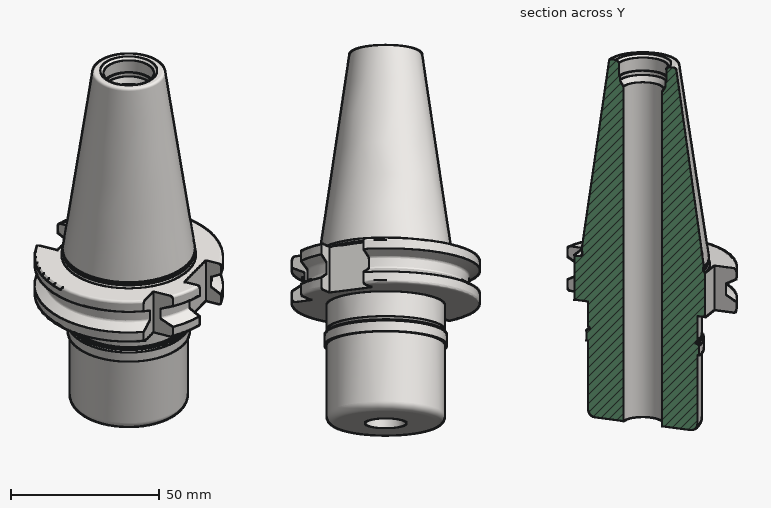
import cadquery as cq
import math

taper_height = 68.4
nose_z = -60.0
taper_foot_z = -1.0
flange_top_z = -3.2
flange_bottom_z = -19.1
groove_mid_z = -11.1
shank_end_z = -27.7
collar_top_z = -28.8
collar_bottom_z = -33.0

gauge_radius = 44.45 / 2
taper_slope = 7 / 48
taper_rim_fillet = 1.0
neck_radius = 22.1
neck_top_z = -1.8
neck_bottom_z = -2.4
neck_root_radius = 22.7

flange_radius = 63.55 / 2
flange_rim_fillet = 1.0
groove_floor_radius = 28.1
groove_floor_width = 3.8
groove_flank_angle = 30
groove_corner_fillet = 0.7

slot_width = 16.1
shallow_slot_x = 25.0
deep_slot_x = -22.8
notch_x = 18.5
notch_y = -18.5

body_radius = 20.0
relief_radius = 19.2
collar_radius = 20.65
collar_chamfer = 0.6
nose_fillet = 2.6

bore_radius = 7.0
counterbore_radius = 8.5
counterbore_depth = 5.5
lead_in_top_radius = 8.25
lead_in_depth = 7.0
counterbore_mouth_radius = 9.6
counterbore_mouth_depth = 0.9
lead_in_angle = 30


edge_tolerance = 0.01


def taper_radius(z):
    """Radius of the taper at height z."""
    return gauge_radius - taper_slope * z


def round_circle(body, radius, z, fillet_radius):
    """Fillet the circular edge of the given radius at height z."""

    def is_wanted(edge):
        start = edge.startPoint()
        on_circle = abs(math.hypot(start.x, start.y) - radius) < edge_tolerance
        return edge.geomType() == "CIRCLE" and on_circle and abs(start.z - z) < edge_tolerance

    return body.edges().filter(is_wanted).fillet(fillet_radius)


def make_revolved_body():
    """Taper, grooved flange and lower body as one turned outline."""
    half_floor = groove_floor_width / 2
    flank_height = (flange_radius - groove_floor_radius) * math.tan(math.radians(groove_flank_angle))
    half_mouth = half_floor + flank_height
    outline = (
        cq.Workplane("XZ")
        .moveTo(0, taper_height)
        .lineTo(taper_radius(taper_height), taper_height)
        .lineTo(taper_radius(taper_foot_z), taper_foot_z)
        .lineTo(neck_radius, neck_top_z)
        .lineTo(neck_radius, neck_bottom_z)
        .lineTo(neck_root_radius, flange_top_z)
        .lineTo(flange_radius, flange_top_z)
        .lineTo(flange_radius, groove_mid_z + half_mouth)
        .lineTo(groove_floor_radius, groove_mid_z + half_floor)
        .lineTo(groove_floor_radius, groove_mid_z - half_floor)
        .lineTo(flange_radius, groove_mid_z - half_mouth)
        .lineTo(flange_radius, flange_bottom_z)
        .lineTo(body_radius, flange_bottom_z)
        .lineTo(body_radius, shank_end_z)
        .lineTo(relief_radius, collar_top_z)
        .lineTo(collar_radius - collar_chamfer, collar_top_z)
        .lineTo(collar_radius, collar_top_z - collar_chamfer)
        .lineTo(collar_radius, collar_bottom_z)
        .lineTo(body_radius, collar_bottom_z)
        .lineTo(body_radius, nose_z)
        .lineTo(0, nose_z)
        .close()
    )
    body = outline.revolve(360, (0, 0, 0), (0, 1, 0))
    body = round_circle(body, taper_radius(taper_height), taper_height, taper_rim_fillet)
    body = round_circle(body, flange_radius, flange_top_z, flange_rim_fillet)
    body = round_circle(body, flange_radius, flange_bottom_z, flange_rim_fillet)
    for side in (1, -1):
        corner_z = groove_mid_z + side * half_floor
        body = round_circle(body, groove_floor_radius, corner_z, groove_corner_fillet)
    return round_circle(body, body_radius, nose_z, nose_fillet)


def make_bore():
    """Through bore, entered from the top through a chamfered counterbore, a small step and a cone."""
    counterbore_z = taper_height - counterbore_depth
    lead_in_z = taper_height - lead_in_depth
    lead_in_height = (lead_in_top_radius - bore_radius) / math.tan(math.radians(lead_in_angle))
    outline = (
        cq.Workplane("XZ")
        .moveTo(0, taper_height)
        .lineTo(counterbore_mouth_radius, taper_height)
        .lineTo(counterbore_radius, taper_height - counterbore_mouth_depth)
        .lineTo(counterbore_radius, counterbore_z)
        .lineTo(lead_in_top_radius, counterbore_z)
        .lineTo(lead_in_top_radius, lead_in_z)
        .lineTo(bore_radius, lead_in_z - lead_in_height)
        .lineTo(bore_radius, nose_z)
        .lineTo(0, nose_z)
        .close()
    )
    return outline.revolve(360, (0, 0, 0), (0, 1, 0))


def make_flange_cut(x_start, x_end, y_start, y_end):
    """Rectangular cutter through the full height of the flange."""
    return (
        cq.Workplane("XY")
        .workplane(offset=flange_bottom_z)
        .moveTo(x_start, y_start)
        .lineTo(x_end, y_start)
        .lineTo(x_end, y_end)
        .lineTo(x_start, y_end)
        .close()
        .extrude(flange_top_z - flange_bottom_z)
    )


result = make_revolved_body().cut(make_bore())

for slot_floor_x, outside_x in ((shallow_slot_x, flange_radius), (deep_slot_x, -flange_radius)):
    result = result.cut(make_flange_cut(slot_floor_x, outside_x, -slot_width / 2, slot_width / 2))

result = result.cut(make_flange_cut(notch_x, flange_radius, -flange_radius, notch_y))